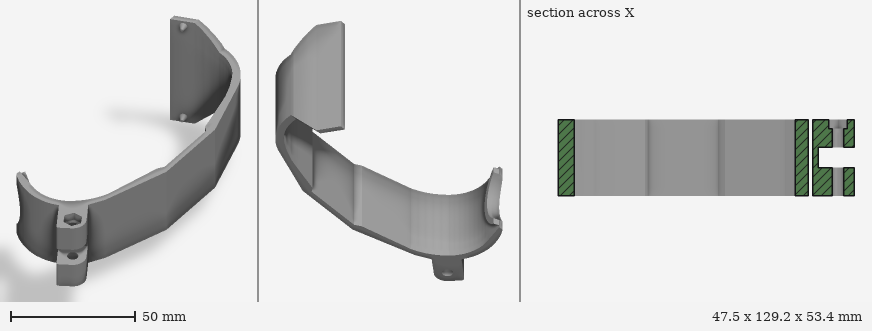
import cadquery as cq
import math


overall_length = 129.2
top_y = 59.1

depth = 47.5
band_height = 30.8
back_thickness = 2.5
back_inner_x = depth - back_thickness
back_half_length = 16.3
corner_x = 43.3
corner_y = 15.3
corner_step = 1.7
lower_corner_y = -16.9
lower_corner_step = 2.7

flange_height = 53.4
flange_length = 9.4
flange_root_x = 20.4
flange_outer_y = 52.3
flange_inner_y = 49.6
flange_bend_x = 9.3
flange_bend_outer_y = 56.2
flange_bend_inner_y = 53.6
pin_x = 5.0
pin_z = 24.0
pin_base_radius = 1.7
pin_tip_radius = 0.58
pin_length = 2.7
pin_root = 0.5

hole_x = 35.0
hole_diameter = 4.5
nut_corner_diameter = 8.3
nut_depth = 3.6
ear_angle = math.radians(-57.5)
ear_radius = 5.5
ear_far_side = 6.2
ear_corner_radius = 0.9
ear_root = 10.3
slot_height = 8.0
slot_floor = 6.6
ear_drop = (
    (ear_corner_radius - ear_radius) * math.sin(ear_angle)
    + (ear_far_side - ear_corner_radius) * math.cos(ear_angle)
    + ear_corner_radius
)
hole_y = top_y - overall_length + ear_drop

notch_x = 4.4
notch_y = -57.0
notch_radius = 13.8
lip_width = 2.3
lip_angle = -27.0
lip_end = 6.3
lip_start = 2.0
lip_top = 5.4
notch_clearance = 1.3
cut_reach = 25.8


def make_band():
    """Plan outline of the band, extruded to the full flange height."""
    outline = (
        cq.Workplane("XY")
        .moveTo(0, flange_outer_y)
        .lineTo(flange_bend_x, flange_bend_outer_y)
        .threePointArc((14.0, 58.2), (18.9, top_y))
        .threePointArc((29.7, 55.2), (38.6, 44.0))
        .lineTo(42.8, 31.1)
        .lineTo(depth, back_half_length)
        .lineTo(depth, -back_half_length)
        .lineTo(38.3, -45.0)
        .lineTo(34.8, -51.2)
        .lineTo(25.7, -58.7)
        .threePointArc((17.6, -60.6), (7.8, -58.7))
        .threePointArc((3.4, -56.4), (0, -53.6))
        .lineTo(0, -51.5)
        .lineTo(8.9, -55.5)
        .threePointArc((17.8, -57.4), (27.5, -53.9))
        .threePointArc((33.1, -48.2), (37.0, -41.1))
        .lineTo(corner_x, lower_corner_y)
        .lineTo(back_inner_x, lower_corner_y + lower_corner_step)
        .lineTo(back_inner_x, corner_y - corner_step)
        .lineTo(corner_x, corner_y)
        .lineTo(40.1, 29.1)
        .threePointArc((37.5, 38.3), (33.3, 46.8))
        .threePointArc((27.9, 52.5), (20.5, 55.5))
        .threePointArc((14.9, 55.3), (flange_bend_x, flange_bend_inner_y))
        .lineTo(0, flange_inner_y)
        .close()
    )
    return outline.extrude(flange_height / 2, both=True)


def make_envelope():
    """Limits in X and Z: band height everywhere, flared at the flange."""
    length = 2 * overall_length
    strip = cq.Workplane("XY").box(depth, length, band_height, centered=(False, True, True))
    half_flange = flange_height / 2
    half_band = band_height / 2
    flare = (
        cq.Workplane("XZ")
        .polyline([
            (0, half_flange),
            (flange_length, half_flange),
            (flange_root_x, half_band),
            (flange_root_x, -half_band),
            (flange_length, -half_flange),
            (0, -half_flange),
        ])
        .close()
        .extrude(-length / 2)
    )
    return strip.union(flare)


def make_pin(z):
    """Tapered pin standing square to the inner face of the flange."""
    rise = flange_bend_inner_y - flange_inner_y
    face_length = math.hypot(flange_bend_x, rise)
    normal = cq.Vector(rise / face_length, -flange_bend_x / face_length, 0)
    foot = cq.Vector(pin_x, flange_inner_y + pin_x * rise / flange_bend_x, z)
    cone = cq.Solid.makeCone(pin_base_radius, pin_tip_radius, pin_length, foot, normal)
    root = cq.Solid.makeCylinder(pin_base_radius, pin_root, foot - normal * pin_root, normal)
    return cq.Workplane(obj=cone).union(cq.Workplane(obj=root))


ear_plane = cq.Plane(
    origin=(hole_x, hole_y, 0),
    xDir=(math.cos(ear_angle), math.sin(ear_angle), 0),
    normal=(0, 0, 1),
)


def make_ear():
    """Solid ear, rounded about the bolt on one corner only."""
    diagonal = ear_radius * math.sqrt(0.5)
    return (
        cq.Workplane(ear_plane)
        .moveTo(-ear_root, ear_radius)
        .lineTo(0, ear_radius)
        .threePointArc((diagonal, diagonal), (ear_radius, 0))
        .lineTo(ear_radius, -ear_far_side)
        .lineTo(-ear_root, -ear_far_side)
        .close()
        .extrude(band_height / 2, both=True)
        .edges(cq.selectors.NearestToPointSelector(
            ear_plane.toWorldCoords((ear_radius, -ear_far_side, 0)).toTuple()))
        .fillet(ear_corner_radius)
    )


def make_ear_cuts():
    """Middle slot, bolt hole and hexagonal nut pocket."""
    slot = (
        cq.Workplane(ear_plane)
        .center(-slot_floor, 0)
        .rect(2 * cut_reach, 2 * cut_reach)
        .extrude(slot_height / 2, both=True)
        .translate(ear_plane.xDir * cut_reach)
    )
    hole = cq.Workplane(ear_plane).circle(hole_diameter / 2).extrude(band_height, both=True)
    nut = (
        cq.Workplane("XY", origin=(hole_x, hole_y, band_height / 2 - nut_depth))
        .polygon(6, nut_corner_diameter)
        .extrude(nut_depth)
    )
    return slot.union(hole).union(nut)


lip_direction = math.radians(lip_angle)
notch_plane = cq.Plane(
    origin=(notch_x, notch_y, 0),
    xDir=(math.cos(lip_direction), math.sin(lip_direction), 0),
    normal=(-math.sin(lip_direction), math.cos(lip_direction), 0),
)


def make_lip():
    """Raised rim around the notch, ending square at the band end."""
    disc = (
        cq.Workplane(notch_plane)
        .workplane(offset=lip_start)
        .center(-notch_radius, 0)
        .circle(notch_radius + lip_width)
        .extrude(lip_top - lip_start)
    )
    limit = (
        cq.Workplane(notch_plane)
        .center(-lip_end, 0)
        .rect(2 * cut_reach, 2 * cut_reach)
        .extrude(lip_top)
        .translate(notch_plane.xDir * cut_reach)
    )
    return disc.intersect(limit)


def make_notch():
    """Round cutter that opens the band end and the lip."""
    return (
        cq.Workplane(notch_plane)
        .center(-notch_radius, 0)
        .circle(notch_radius)
        .extrude(lip_top + notch_clearance, both=True)
    )


body = make_band().union(make_lip()).intersect(make_envelope())
body = body.cut(make_notch())
body = body.union(make_ear()).cut(make_ear_cuts())
for pin_side in (-1, 1):
    body = body.union(make_pin(pin_side * pin_z))

result = body